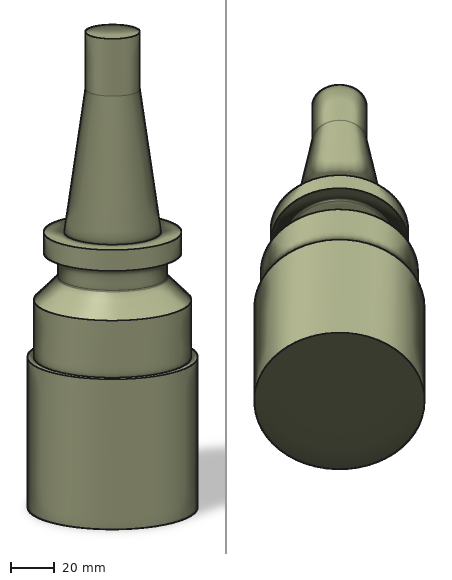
import cadquery as cq

body_diameter = 78.0
shoulder_diameter = 72.1
neck_diameter = 50.0
flange_diameter = 63.0
taper_base_diameter = 44.5
tip_diameter = 25.0

total_length = 225.5
body_length = 71.2
shoulder_length = 27.0
cone_length = 11.0
neck_length = 11.3
flange_length = 10.0
taper_length = 67.8

neck_fillet = 1.0

radius_tolerance = 0.02

body_top = body_length
shoulder_top = body_top + shoulder_length
cone_top = shoulder_top + cone_length
neck_top = cone_top + neck_length
flange_top = neck_top + flange_length
taper_top = flange_top + taper_length

sections = [
    (body_diameter, body_diameter, 0, body_top),
    (shoulder_diameter, shoulder_diameter, body_top, shoulder_top),
    (shoulder_diameter, neck_diameter, shoulder_top, cone_top),
    (neck_diameter, neck_diameter, cone_top, neck_top),
    (flange_diameter, flange_diameter, neck_top, flange_top),
    (taper_base_diameter, tip_diameter, flange_top, taper_top),
    (tip_diameter, tip_diameter, taper_top, total_length),
]


def round_section(bottom_diameter, top_diameter, bottom, top):
    """Cylinder or cone frustum centred on the Z axis."""
    half_profile = [
        (0, bottom),
        (bottom_diameter / 2, bottom),
        (top_diameter / 2, top),
        (0, top),
    ]
    return cq.Workplane("XZ").polyline(half_profile).close().revolve(360, (0, 0, 0), (0, 1, 0))


result = round_section(*sections[0])
for section in sections[1:]:
    result = result.union(round_section(*section))

neck_edges = [
    edge
    for edge in result.edges("%CIRCLE").vals()
    if abs(edge.radius() - neck_diameter / 2) < radius_tolerance
]
result = result.newObject(neck_edges).fillet(neck_fillet)